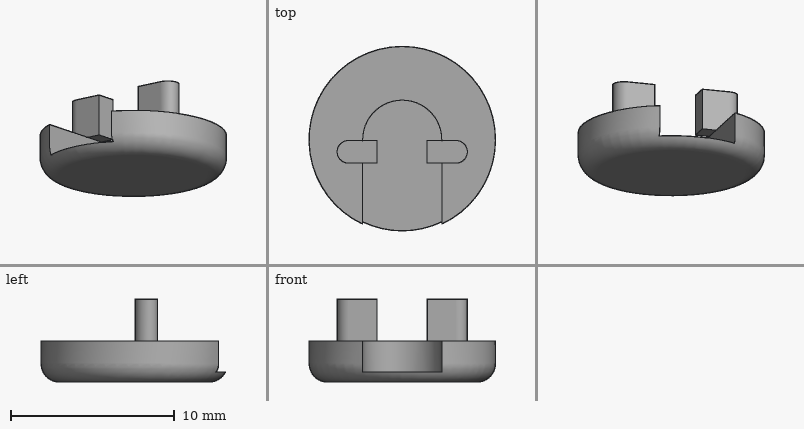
import cadquery as cq

disc_radius = 5.7
disc_height = 2.53
edge_radius = 1.14

slot_width = 4.84
slot_floor = 0.63

post_height = 2.55
post_thickness = 1.38
post_outer_x = 3.98
post_inner_x = 1.53
post_center_y = -0.74


def make_disc():
    disc = cq.Workplane("XY").circle(disc_radius).extrude(disc_height)
    return disc.faces("<Z").edges().fillet(edge_radius)


def make_slot():
    depth = disc_height - slot_floor
    floor = cq.Workplane("XY").workplane(offset=slot_floor)
    round_end = floor.circle(slot_width / 2).extrude(depth)
    channel = floor.center(0, -disc_radius / 2).rect(slot_width, disc_radius).extrude(depth)
    return round_end.union(channel)


def make_post(side):
    """Post on the +X side (side = 1) or the -X side (side = -1)."""
    half = post_thickness / 2
    inner = side * post_inner_x
    tip = side * post_outer_x
    arc_start = side * (post_outer_x - half)
    return (
        cq.Workplane("XY", origin=(0, post_center_y, disc_height))
        .moveTo(inner, -half)
        .lineTo(arc_start, -half)
        .threePointArc((tip, 0), (arc_start, half))
        .lineTo(inner, half)
        .close()
        .extrude(post_height)
    )


result = make_disc().cut(make_slot())
for post_side in (-1, 1):
    result = result.union(make_post(post_side))